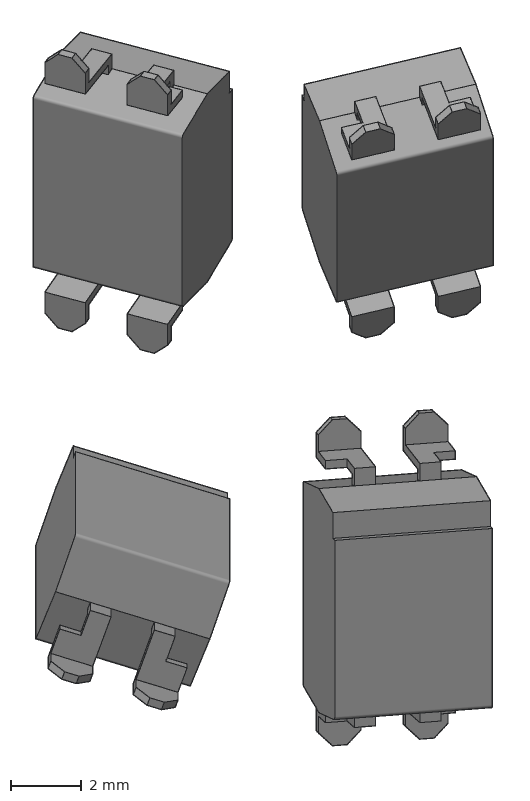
import cadquery as cq
import math

BODY_WIDTH = 4.6
BODY_DEPTH = 3.5
BODY_HEIGHT = 6.6
DRAFT_ANGLE = math.radians(9.5)
EDGE_RADIUS = 0.1
NOTCH_DEPTH = 0.2
NOTCH_HEIGHT = 1.02

OVERALL_HEIGHT = 9.6
LEAD_PITCH = 2.54
LEAD_WIDTH = 1.25
NECK_WIDTH = 0.62
LEAD_THICKNESS = 0.25
LEAD_SLOPE = math.radians(3)
NECK_RISE = 0.515
NECK_LENGTH = 0.81
FOOT_STANDOFF = 0.1
TIP_CHAMFER = 0.41
LEAD_EMBED = 0.5

HALF_DEPTH = BODY_DEPTH / 2
RIDGE_Z = BODY_HEIGHT / 2
TIP_Z = OVERALL_HEIGHT / 2
SHOULDER_Z = RIDGE_Z - HALF_DEPTH * math.tan(DRAFT_ANGLE)
FOOT_FACE_Y = -HALF_DEPTH - FOOT_STANDOFF


def make_body():
    """Six-sided profile with ridged ends, rounded corners and a step at the top back edge."""
    profile = [
        (-HALF_DEPTH, -SHOULDER_Z),
        (0, -RIDGE_Z),
        (HALF_DEPTH, -SHOULDER_Z),
        (HALF_DEPTH, SHOULDER_Z),
        (0, RIDGE_Z),
        (-HALF_DEPTH, SHOULDER_Z),
    ]
    body = cq.Workplane("YZ").polyline(profile).close().extrude(BODY_WIDTH / 2, both=True)
    body = body.edges("|X").edges("<Y or >Y").fillet(EDGE_RADIUS)
    notch = cq.Workplane("XY").box(
        BODY_WIDTH, NOTCH_DEPTH, NOTCH_HEIGHT, centered=(True, False, False)
    )
    return body.cut(notch.translate((0, HALF_DEPTH - NOTCH_DEPTH, RIDGE_Z - NOTCH_HEIGHT)))


def make_bent_strip():
    """Full-width lead strip at the top end, spanning X from 0 to LEAD_WIDTH."""
    neck_front_y = -LEAD_THICKNESS
    foot_back_y = FOOT_FACE_Y + LEAD_THICKNESS
    root_z = RIDGE_Z - LEAD_EMBED
    slope = math.tan(LEAD_SLOPE)

    def outer_z(y):
        return RIDGE_Z + NECK_RISE - y * slope

    def inner_z(y):
        return outer_z(y) - LEAD_THICKNESS / math.cos(LEAD_SLOPE)

    profile = [
        (0, root_z),
        (0, outer_z(0)),
        (foot_back_y, outer_z(foot_back_y)),
        (foot_back_y, TIP_Z),
        (FOOT_FACE_Y, TIP_Z),
        (FOOT_FACE_Y, inner_z(FOOT_FACE_Y)),
        (neck_front_y, inner_z(neck_front_y)),
        (neck_front_y, root_z),
    ]
    strip = cq.Workplane("YZ").polyline(profile).close().extrude(LEAD_WIDTH)
    return strip.edges("|Y and >Z").chamfer(TIP_CHAMFER)


def make_lead():
    """Top right lead: the strip is narrowed to a neck on its outboard side."""
    relief = cq.Workplane("XY").box(
        LEAD_WIDTH - NECK_WIDTH, NECK_LENGTH, OVERALL_HEIGHT, centered=(False, False, True)
    )
    lead = make_bent_strip().cut(relief.translate((NECK_WIDTH, -NECK_LENGTH, 0)))
    return lead.translate(((LEAD_PITCH - LEAD_WIDTH) / 2, 0, 0))


result = make_body()
top_right_lead = make_lead()
top_leads = [top_right_lead, top_right_lead.mirror("YZ")]
for top_lead in top_leads:
    result = result.union(top_lead).union(top_lead.mirror("XY"))